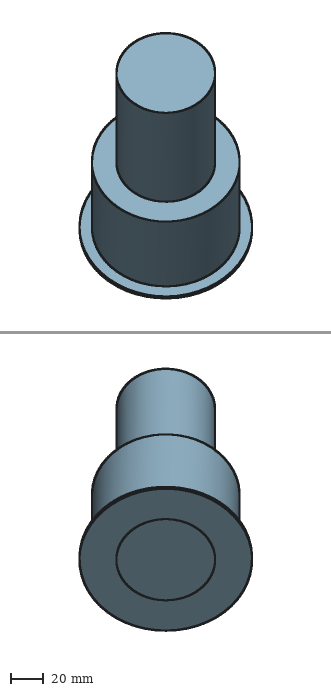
import cadquery as cq

total_height = 160.6
flange_diameter = 105.0
flange_thickness = 2.1
barrel_diameter = 90.0
barrel_top = 68.9
shaft_diameter = 60.0


def make_housing():
    """Round barrel on a thin, wider base flange, bored right through for the shaft."""
    flange = cq.Workplane("XY").circle(flange_diameter / 2).extrude(flange_thickness)
    barrel = cq.Workplane("XY").circle(barrel_diameter / 2).extrude(barrel_top)
    bore = cq.Workplane("XY").circle(shaft_diameter / 2).extrude(barrel_top)
    return flange.union(barrel).cut(bore)


def make_shaft():
    """Plain cylinder that fills the bore and rises above the barrel."""
    return cq.Workplane("XY").circle(shaft_diameter / 2).extrude(total_height)


housing = make_housing()
shaft = make_shaft()

result = cq.Compound.makeCompound([housing.val(), shaft.val()])